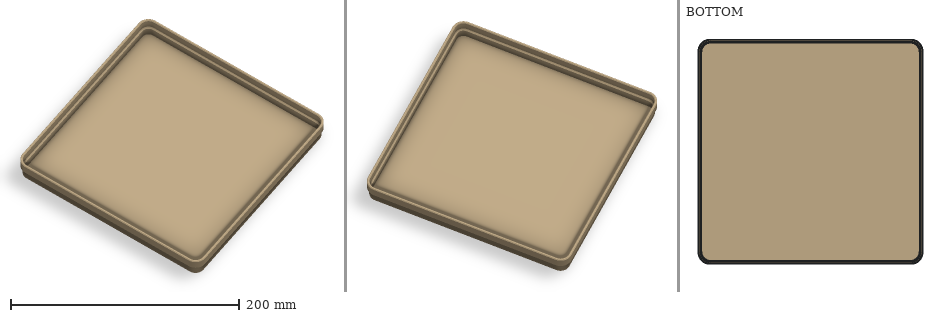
import cadquery as cq
import math

side = 196.4
height = 20.0
band_wall = 2.4
base_wall = 1.8
floor = 2.0
corner_radius = 10.5

step = 2.0
band_bottom = 11.0
flare_height = 1.5
ledge_top = 11.4
ledge_height = 1.4
outer_chamfer = 0.8
rim_inner_chamfer = 0.8


def rounded_block(inset, bottom, top, top_inset=None):
    """Rounded square block set in from the outer side; its walls slope if top_inset differs."""
    width = side - 2 * inset
    slope = 0 if top_inset is None else math.degrees(math.atan2(top_inset - inset, top - bottom))
    outline = cq.Sketch().rect(width, width).vertices().fillet(corner_radius - inset)
    return (
        cq.Workplane("XY")
        .workplane(offset=bottom)
        .placeSketch(outline)
        .extrude(top - bottom, taper=slope)
    )


base = rounded_block(step, 0, height).faces("<Z").edges().chamfer(outer_chamfer)
flare = rounded_block(step, band_bottom - flare_height, band_bottom, 0)
band = rounded_block(0, band_bottom, height).faces(">Z").edges().chamfer(outer_chamfer)
body = base.union(flare).union(band)

lower_inset = step + base_wall
lower_cavity = rounded_block(lower_inset, floor, height)
ledge = rounded_block(lower_inset, ledge_top - ledge_height, ledge_top, band_wall)
upper_cavity = rounded_block(band_wall, ledge_top, height)
rim_bevel = rounded_block(band_wall, height - rim_inner_chamfer, height, band_wall - rim_inner_chamfer)
result = body.cut(lower_cavity).cut(ledge).cut(upper_cavity).cut(rim_bevel)